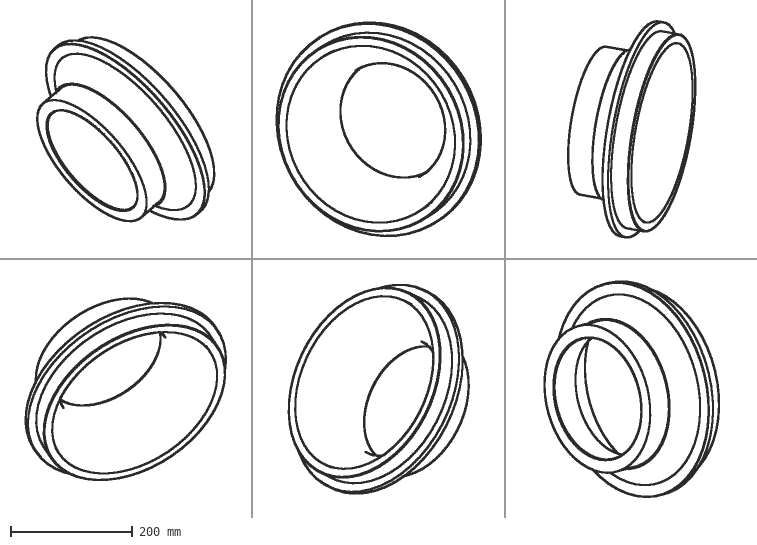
import cadquery as cq
import math

total_length = 120.0
neck_length = 43.0
flange_front = 80.0
flange_thickness = 10.0
front_bore_length = 42.0
rear_bore_start = 100.0

neck_radius = 124.0
flange_radius = 180.0
spigot_radius = 165.0
front_bore_radius = 102.0
rear_bore_radius = 150.0

flare_root_radius = 126.0
flare_outer_radius = 160.0
flare_blend_radius = 136.0
flare_blend_end = 61.0
inner_blend_radius = 20.0

spigot_chamfer = 1.0
flange_chamfer = 0.5
bore_chamfer_width = 1.0
bore_chamfer_depth = 2.0


def point_at(center, radius, angle):
    """Point on a circle in the (radius, length) half plane; angle 0 points outward."""
    return (center[0] + radius * math.cos(angle), center[1] + radius * math.sin(angle))


def tangent_angle(blend_radius, radial_run, axial_run):
    """Cone angle from the axis, for a wall that starts along the axis and covers both runs.

    blend_radius is the radius of the starting arc, or the sum of two opposite end arcs.
    """
    lateral = blend_radius - radial_run
    reach = math.hypot(lateral, axial_run)
    return math.atan2(axial_run, lateral) - math.acos(blend_radius / reach)


def make_outline():
    """Closed half section of the ring, with radius along local x and length along local y."""
    flange_back = flange_front + flange_thickness

    front_center = (front_bore_radius + inner_blend_radius, front_bore_length)
    rear_center = (rear_bore_radius - inner_blend_radius, rear_bore_start)
    inner_angle = tangent_angle(
        2 * inner_blend_radius,
        rear_bore_radius - front_bore_radius,
        rear_bore_start - front_bore_length,
    )
    rear_middle = point_at(rear_center, inner_blend_radius, -inner_angle / 2)
    rear_end = point_at(rear_center, inner_blend_radius, -inner_angle)
    front_middle = point_at(front_center, inner_blend_radius, math.pi - inner_angle / 2)
    front_end = point_at(front_center, inner_blend_radius, math.pi - inner_angle)

    return (
        cq.Workplane("ZY")
        .moveTo(front_bore_radius, bore_chamfer_depth)
        .lineTo(front_bore_radius, front_bore_length)
        .threePointArc(front_middle, front_end)
        .lineTo(*rear_end)
        .threePointArc(rear_middle, (rear_bore_radius, rear_bore_start))
        .lineTo(rear_bore_radius, total_length)
        .lineTo(spigot_radius - spigot_chamfer, total_length)
        .lineTo(spigot_radius, total_length - spigot_chamfer)
        .lineTo(spigot_radius, flange_back)
        .lineTo(flange_radius, flange_back)
        .lineTo(flange_radius, flange_front + flange_chamfer)
        .lineTo(flange_radius - flange_chamfer, flange_front)
        .lineTo(flare_outer_radius, flange_front)
        .lineTo(flare_blend_radius, flare_blend_end)
        .tangentArcPoint((flare_root_radius, neck_length), relative=False)
        .lineTo(neck_radius, neck_length)
        .lineTo(neck_radius, 0)
        .lineTo(front_bore_radius + bore_chamfer_width, 0)
        .close()
    )


full_turn = 360.0
axis_start = (0, 0, 0)
axis_end = (0, 1, 0)

result = make_outline().revolve(full_turn, axis_start, axis_end)